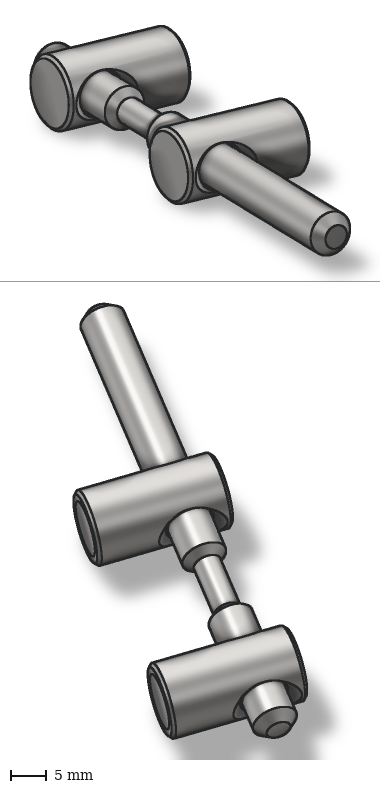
import cadquery as cq

ROD_LENGTH = 75.0
ROD_DIAMETER = 6.5
ROD_END_CHAMFER = 1.5
NECK_DIAMETER = 4.0
NECK_START = 20.0
NECK_END = 31.0

BARREL_DIAMETER = 11.0
BARREL_LENGTH = 20.0
BARREL_EDGE_CHAMFER = 0.5
BARREL_FRONT_OFFSET = 6.0
BARREL_TO_NECK = 10.0
CROSS_HOLE_DIAMETER = 7.1
CROSS_HOLE_FLARE = 1.5

SCREW_DIAMETER = 8.0
SCREW_TIP_DIAMETER = 6.65
SCREW_TIP_Y = 2.0

ROD_RADIUS = ROD_DIAMETER / 2
NECK_RADIUS = NECK_DIAMETER / 2
BARREL_RADIUS = BARREL_DIAMETER / 2
BARREL_BACK_Y = BARREL_LENGTH - BARREL_FRONT_OFFSET
BARREL_POSITIONS = [NECK_START - BARREL_TO_NECK, NECK_END + BARREL_TO_NECK]


def make_set_screw(x):
    """Plain screw with a 45 degree point, flush with the back of its barrel."""
    radius = SCREW_DIAMETER / 2
    tip_radius = SCREW_TIP_DIAMETER / 2
    return (
        cq.Workplane("XY")
        .moveTo(0, SCREW_TIP_Y)
        .lineTo(tip_radius, SCREW_TIP_Y)
        .lineTo(radius, SCREW_TIP_Y + radius - tip_radius)
        .lineTo(radius, BARREL_BACK_Y)
        .lineTo(0, BARREL_BACK_Y)
        .close()
        .revolve(360, (0, 0, 0), (0, 1, 0))
        .translate((x, 0, 0))
    )


def make_cross_hole():
    """Cutter along X for the rod hole, flared outward at both ends."""
    radius = CROSS_HOLE_DIAMETER / 2
    flare_radius = radius + CROSS_HOLE_FLARE
    flare_start = BARREL_RADIUS - CROSS_HOLE_FLARE
    return (
        cq.Workplane("XY")
        .moveTo(-BARREL_RADIUS, 0)
        .lineTo(-BARREL_RADIUS, flare_radius)
        .lineTo(-flare_start, radius)
        .lineTo(flare_start, radius)
        .lineTo(BARREL_RADIUS, flare_radius)
        .lineTo(BARREL_RADIUS, 0)
        .close()
        .revolve(360, (0, 0, 0), (1, 0, 0))
    )


def make_barrel(x):
    """Chamfered cylinder with the flared rod hole and a bore for its set screw."""
    body = (
        cq.Workplane("XZ", origin=(0, BARREL_BACK_Y, 0))
        .circle(BARREL_RADIUS)
        .extrude(BARREL_LENGTH)
        .faces("<Y or >Y")
        .chamfer(BARREL_EDGE_CHAMFER)
    )
    return body.cut(make_cross_hole()).cut(make_set_screw(0)).translate((x, 0, 0))


def make_rod():
    """Turned rod with a thin neck, recessed where the set screws seat."""
    shoulder = ROD_RADIUS - NECK_RADIUS
    end_radius = ROD_RADIUS - ROD_END_CHAMFER
    rod = (
        cq.Workplane("XY")
        .moveTo(0, 0)
        .lineTo(0, end_radius)
        .lineTo(ROD_END_CHAMFER, ROD_RADIUS)
        .lineTo(NECK_START, ROD_RADIUS)
        .lineTo(NECK_START + shoulder, NECK_RADIUS)
        .lineTo(NECK_END - shoulder, NECK_RADIUS)
        .lineTo(NECK_END, ROD_RADIUS)
        .lineTo(ROD_LENGTH - ROD_END_CHAMFER, ROD_RADIUS)
        .lineTo(ROD_LENGTH, end_radius)
        .lineTo(ROD_LENGTH, 0)
        .close()
        .revolve(360, (0, 0, 0), (1, 0, 0))
    )
    for x in BARREL_POSITIONS:
        rod = rod.cut(make_set_screw(x))
    return rod


rod = make_rod()
barrels = [make_barrel(x) for x in BARREL_POSITIONS]
set_screws = [make_set_screw(x) for x in BARREL_POSITIONS]

result = cq.Compound.makeCompound(
    [rod.val()] + [barrel.val() for barrel in barrels] + [screw.val() for screw in set_screws]
)